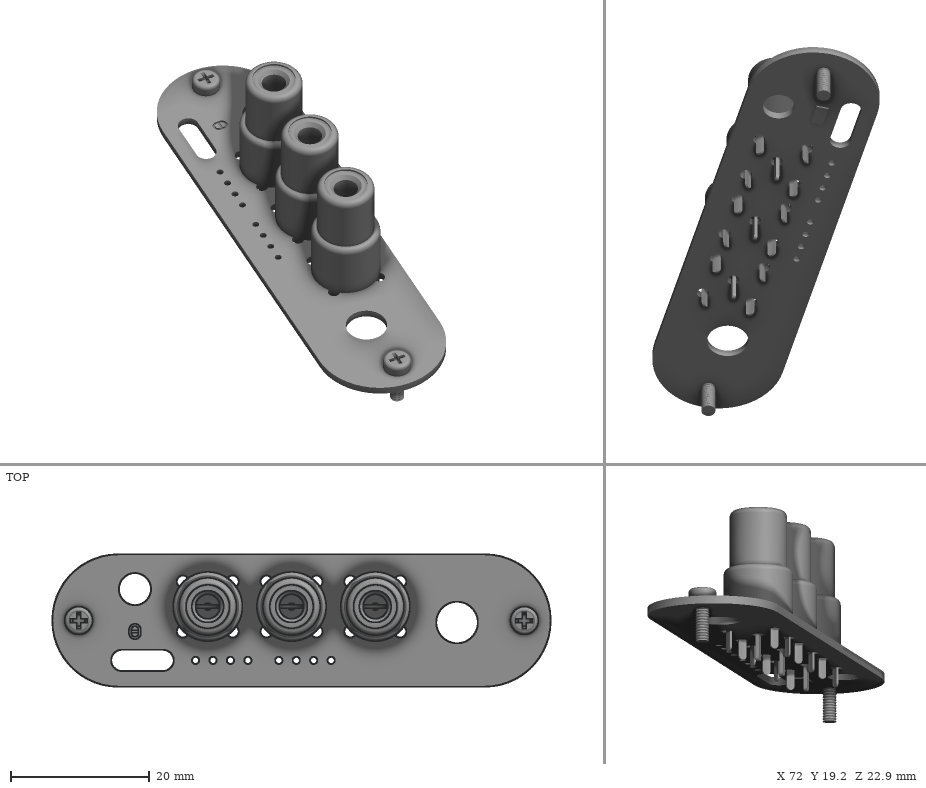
import cadquery as cq

PLATE_LENGTH = 72.05
PLATE_WIDTH = 19.15
PLATE_THICKNESS = 1.15

ROUND_HOLES = [
    (-24.05, 4.55, 4.6),
    (22.5, -0.3, 6.0),
]
WINDOW_LENGTH = 9.0
WINDOW_WIDTH = 3.0
WINDOW_CENTER = (-23.0, -5.75)

SMALL_HOLE_DIAMETER = 1.0
SMALL_HOLE_PITCH = 2.5
SMALL_HOLES_PER_ROW = 4
SMALL_HOLE_Y = -5.75
FIRST_ROW_CENTER_X = -11.5
ROW_SPACING = 12.0

JACK_COUNT = 3
JACK_PITCH = 12.1
JACK_MIDDLE_X = -1.45
JACK_Y = 2.0
JACK_BASE_DIAMETER = 10.0
JACK_BARREL_DIAMETER = 8.3
JACK_HEIGHT = 17.0
JACK_BASE_HEIGHT = JACK_HEIGHT / 2
JACK_ROUNDING = (JACK_BASE_DIAMETER - JACK_BARREL_DIAMETER) / 2
TOP_RECESS_DIAMETER = 6.3
TOP_RECESS_DEPTH = 0.3
BORE_DIAMETER = 3.5
BORE_MOUTH_DIAMETER = 4.6
BORE_DEPTH = JACK_HEIGHT - JACK_BASE_HEIGHT
CONTACT_THICKNESS = 0.5
CENTER_PIN_WIDTH = 1.0
CENTER_PIN_LENGTH = 5.05
CONTACT_HOLE_DIAMETER = CENTER_PIN_WIDTH
CONTACT_HOLE_DEPTH = 0.7
CORNER_PIN_WIDTH = 1.2
CORNER_PIN_LENGTH = 4.0
CORNER_PIN_THICKNESS = 0.3
PIN_HOLE_DIAMETER = 1.7
PIN_HOLE_OFFSET = 3.6

SCREW_X = 32.2
SCREW_HEAD_DIAMETER = 4.0
SCREW_HEAD_HEIGHT = 1.7
SCREW_HEAD_ROUNDING = 0.6
SCREW_DIAMETER = 2.0
THREAD_LENGTH = 4.8
SCREW_LENGTH = PLATE_THICKNESS + THREAD_LENGTH
THREAD_DEPTH = 0.15
THREAD_TURNS = 12
RECESS_SPAN = 2.45
RECESS_FLOOR_SPAN = 1.7
RECESS_WIDTH = 0.6
RECESS_DEPTH = 0.9

LAMP_CENTER = (-24.05, -1.6)
LAMP_BASE_LENGTH = 3.25
LAMP_BASE_WIDTH = 1.8
LAMP_BASE_THICKNESS = 0.2
LENS_LENGTH = 2.2
LENS_WIDTH = 1.7
LENS_CROWN_WIDTH = 1.0
LENS_CROWN_HEIGHT = 0.3
LENS_GROOVE_WIDTH = 0.35
LENS_GROOVE_DEPTH = 0.2


def obround(length, width, height, angle=0):
    """Upright block with round ends, standing on Z = 0."""
    return cq.Workplane("XY").slot2D(length, width, angle).extrude(height)


def jack_centers():
    middle = (JACK_COUNT - 1) / 2
    return [(JACK_MIDDLE_X + (i - middle) * JACK_PITCH, JACK_Y) for i in range(JACK_COUNT)]


def pin_hole_centers():
    """One hole on each jack axis and four around it."""
    steps = [(0, 0)] + [(i, j) for i in (-1, 1) for j in (-1, 1)]
    return [
        (x + i * PIN_HOLE_OFFSET, y + j * PIN_HOLE_OFFSET)
        for x, y in jack_centers()
        for i, j in steps
    ]


def small_hole_centers():
    middle = (SMALL_HOLES_PER_ROW - 1) / 2
    row_centers = [FIRST_ROW_CENTER_X, FIRST_ROW_CENTER_X + ROW_SPACING]
    return [
        (center + (i - middle) * SMALL_HOLE_PITCH, SMALL_HOLE_Y)
        for center in row_centers
        for i in range(SMALL_HOLES_PER_ROW)
    ]


def drill(body, centers, diameter):
    holes = cq.Workplane("XY").pushPoints(centers).circle(diameter / 2).extrude(PLATE_THICKNESS)
    return body.cut(holes)


def make_plate():
    plate = obround(PLATE_LENGTH, PLATE_WIDTH, PLATE_THICKNESS)
    for x, y, diameter in ROUND_HOLES:
        plate = drill(plate, [(x, y)], diameter)
    plate = drill(plate, small_hole_centers(), SMALL_HOLE_DIAMETER)
    plate = drill(plate, pin_hole_centers(), PIN_HOLE_DIAMETER)
    plate = drill(plate, [(-SCREW_X, 0), (SCREW_X, 0)], SCREW_DIAMETER)
    window = obround(WINDOW_LENGTH, WINDOW_WIDTH, PLATE_THICKNESS)
    plate = plate.cut(window.translate((*WINDOW_CENTER, 0)))
    lens_opening = obround(LENS_LENGTH, LENS_WIDTH, PLATE_THICKNESS, angle=90)
    return plate.cut(lens_opening.translate((*LAMP_CENTER, 0)))


def round_tipped_pin(width, length, thickness):
    """Flat pin with a round tip, hanging down from Z = 0, thin along Y."""
    radius = width / 2
    straight = length - radius
    return (
        cq.Workplane("XZ")
        .moveTo(-radius, 0)
        .lineTo(-radius, -straight)
        .threePointArc((0, -length), (radius, -straight))
        .lineTo(radius, 0)
        .close()
        .extrude(thickness / 2, both=True)
    )


def corner_pins():
    """Four round-tipped pins cut from a thin sleeve flush with the wall of the base."""
    radius = JACK_BASE_DIAMETER / 2
    sleeve = (
        cq.Workplane("XY")
        .circle(radius)
        .circle(radius - CORNER_PIN_THICKNESS)
        .extrude(-CORNER_PIN_LENGTH)
    )
    blade = round_tipped_pin(CORNER_PIN_WIDTH, CORNER_PIN_LENGTH, JACK_BASE_DIAMETER)
    turned = [blade.rotate((0, 0, 0), (0, 0, 1), angle) for angle in (45, -45)]
    return turned[0].union(turned[1]).intersect(sleeve)


def make_jack():
    """Jack standing on Z = 0 with its pins hanging below."""
    base = cq.Workplane("XY").circle(JACK_BASE_DIAMETER / 2).extrude(JACK_BASE_HEIGHT)
    barrel = cq.Workplane("XY").circle(JACK_BARREL_DIAMETER / 2).extrude(JACK_HEIGHT)
    jack = base.faces(">Z").edges().fillet(JACK_ROUNDING)
    jack = jack.union(barrel.faces(">Z").edges().fillet(JACK_ROUNDING))

    recess_floor = JACK_HEIGHT - TOP_RECESS_DEPTH
    top_recess = (
        cq.Workplane("XY", origin=(0, 0, recess_floor))
        .circle(TOP_RECESS_DIAMETER / 2)
        .extrude(TOP_RECESS_DEPTH)
    )
    bore = (
        cq.Workplane("XY", origin=(0, 0, JACK_HEIGHT))
        .circle(BORE_DIAMETER / 2)
        .extrude(-BORE_DEPTH)
    )
    mouth = (
        cq.Workplane("XY", origin=(0, 0, recess_floor))
        .circle(BORE_MOUTH_DIAMETER / 2)
        .workplane(offset=-(BORE_MOUTH_DIAMETER - BORE_DIAMETER) / 2)
        .circle(BORE_DIAMETER / 2)
        .loft()
    )
    jack = jack.cut(top_recess).cut(bore).cut(mouth)

    floor_height = JACK_HEIGHT - BORE_DEPTH
    slot = (
        cq.Workplane("XZ", origin=(0, 0, floor_height))
        .circle(BORE_DIAMETER / 2)
        .extrude(CONTACT_THICKNESS / 2, both=True)
    )
    contact_hole = (
        cq.Workplane("XY", origin=(0, 0, floor_height))
        .circle(CONTACT_HOLE_DIAMETER / 2)
        .extrude(-CONTACT_HOLE_DEPTH)
    )
    jack = jack.cut(slot).cut(contact_hole)

    center_pin = round_tipped_pin(CENTER_PIN_WIDTH, CENTER_PIN_LENGTH, CONTACT_THICKNESS)
    return jack.union(center_pin).union(corner_pins())


def make_screw():
    """Screw with its head standing on Z = 0, and ring grooves as the thread below the plate."""
    head = cq.Workplane("XY").circle(SCREW_HEAD_DIAMETER / 2).extrude(SCREW_HEAD_HEIGHT)
    head = head.faces(">Z").edges().fillet(SCREW_HEAD_ROUNDING)

    crest = SCREW_DIAMETER / 2
    root = crest - THREAD_DEPTH
    pitch = THREAD_LENGTH / THREAD_TURNS
    profile = [(0, 0), (crest, 0), (crest, -PLATE_THICKNESS)]
    for turn in range(THREAD_TURNS):
        turn_top = -PLATE_THICKNESS - turn * pitch
        profile += [(root, turn_top - pitch / 2), (crest, turn_top - pitch)]
    profile.append((0, -SCREW_LENGTH))
    shank = cq.Workplane("XZ").polyline(profile).close().revolve(360, (0, 0), (0, 1))
    screw = head.union(shank)

    recess_floor = SCREW_HEAD_HEIGHT - RECESS_DEPTH
    slot = (
        cq.Workplane("XZ")
        .moveTo(-RECESS_SPAN / 2, SCREW_HEAD_HEIGHT)
        .lineTo(RECESS_SPAN / 2, SCREW_HEAD_HEIGHT)
        .lineTo(RECESS_FLOOR_SPAN / 2, recess_floor)
        .lineTo(-RECESS_FLOOR_SPAN / 2, recess_floor)
        .close()
        .extrude(RECESS_WIDTH / 2, both=True)
    )
    return screw.cut(slot).cut(slot.rotate((0, 0, 0), (0, 0, 1), 90))


def make_lamp():
    """Lamp with its base under Z = 0 and its lens filling the plate opening above."""
    base = cq.Workplane("XY").rect(LAMP_BASE_LENGTH, LAMP_BASE_WIDTH).extrude(-LAMP_BASE_THICKNESS)
    lens = obround(LENS_LENGTH, LENS_WIDTH, PLATE_THICKNESS - LENS_CROWN_HEIGHT, angle=90)
    ledge = (LENS_WIDTH - LENS_CROWN_WIDTH) / 2
    crown = obround(LENS_LENGTH - 2 * ledge, LENS_CROWN_WIDTH, PLATE_THICKNESS, angle=90)
    lens = lens.union(crown)
    groove = (
        cq.Workplane("XY", origin=(0, 0, PLATE_THICKNESS))
        .rect(LENS_WIDTH, LENS_GROOVE_WIDTH)
        .extrude(-LENS_GROOVE_DEPTH)
    )
    return lens.cut(groove).union(base)


plate = make_plate()
jacks = [make_jack().translate((x, y, PLATE_THICKNESS)) for x, y in jack_centers()]
screws = [make_screw().translate((x, 0, PLATE_THICKNESS)) for x in (-SCREW_X, SCREW_X)]
lamp = make_lamp().translate((*LAMP_CENTER, 0))

bodies = [plate, *jacks, *screws, lamp]
result = cq.Compound.makeCompound([body.val() for body in bodies])